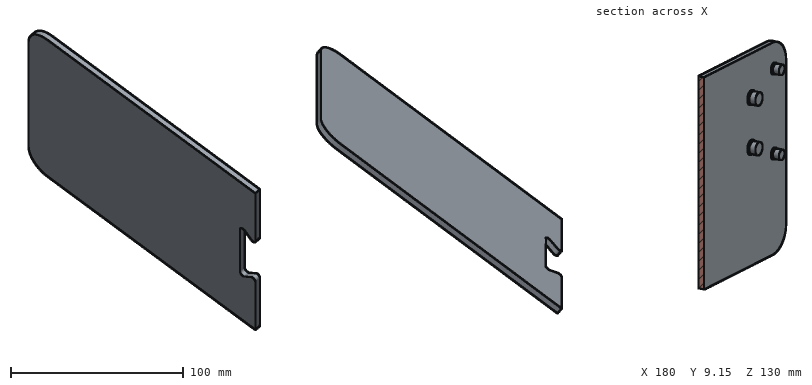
import cadquery as cq

plate_length = 180.0
plate_height = 130.0
plate_thickness = 4.0
corner_radius = 15.0

notch_depth = 12.0
notch_inner_half_height = 24.5
notch_mouth_half_height = 15.0
notch_radius = 2.0

overall_depth = 9.15
pin_length = overall_depth - plate_thickness
foot_height = 1.0
foot_flare = 0.5
pin_pairs_center_z = plate_height - 42.3

small_pins = (6.25, 13.2, 52.0)
large_pins = (8.0, 38.2, 30.4)


def make_plate():
    """Plate with two rounded left corners and a dovetail notch on the right."""
    middle_z = plate_height / 2
    floor_x = plate_length - notch_depth
    outline = [
        (0, 0),
        (plate_length, 0),
        (plate_length, middle_z - notch_mouth_half_height),
        (floor_x, middle_z - notch_inner_half_height),
        (floor_x, middle_z + notch_inner_half_height),
        (plate_length, middle_z + notch_mouth_half_height),
        (plate_length, plate_height),
        (0, plate_height),
    ]
    plate = cq.Workplane("XZ").polyline(outline).close().extrude(-plate_thickness)
    plate = plate.edges("|Y and <X").fillet(corner_radius)

    margin = notch_radius / 2
    notch_box = cq.selectors.BoxSelector(
        (floor_x - margin, -margin, middle_z - notch_inner_half_height - margin),
        (plate_length + margin, plate_thickness + margin, middle_z + notch_inner_half_height + margin),
    )
    return plate.edges("|Y").edges(notch_box).fillet(notch_radius)


def make_pin(diameter):
    """Pin along +Y from the origin, turned from its half profile."""
    radius = diameter / 2
    profile = [
        (0, 0),
        (0, radius + foot_flare),
        (foot_height, radius),
        (pin_length, radius),
        (pin_length, 0),
    ]
    return cq.Workplane("YZ").polyline(profile).close().revolve(360, (0, 0, 0), (1, 0, 0))


def make_pin_pair(diameter, x, spacing):
    """Two equal pins, one above the other, standing on the back face."""
    pin = make_pin(diameter)
    lower = pin.translate((x, plate_thickness, pin_pairs_center_z - spacing / 2))
    return lower.union(lower.translate((0, 0, spacing)))


result = make_plate()
for pair in (small_pins, large_pins):
    result = result.union(make_pin_pair(*pair))